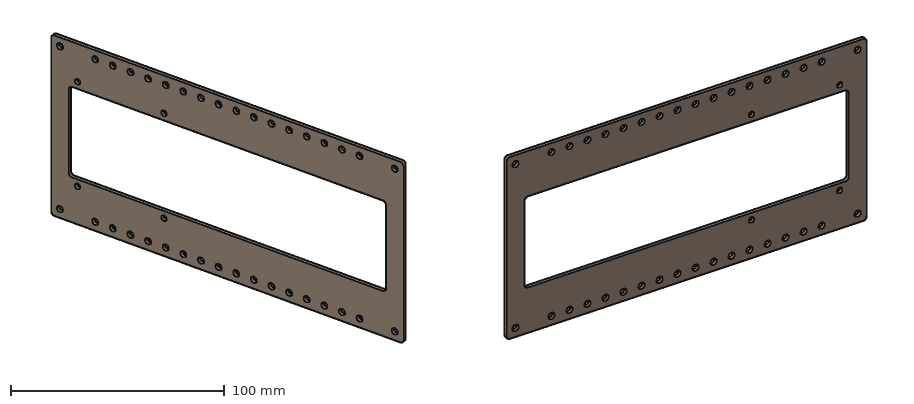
import cadquery as cq

plate_length = 200.0
plate_height = 100.0
plate_thickness = 2.0
plate_corner_radius = 2.0

window_length = 180.0
window_height = 50.0
window_corner_radius = 2.0

edge_hole_diameter = 3.4
edge_hole_inset = 5.0
row_hole_count = 16
row_hole_pitch = 10.0

module_hole_diameter = 3.0
module_hole_left_inset = 15.0
module_hole_spacing_x = 49.0
module_hole_spacing_z = 58.0


def rounded_block(length, height, corner_radius):
    """Block of plate thickness, with its four corners rounded along Y."""
    return (
        cq.Workplane("XY")
        .box(length, plate_thickness, height)
        .edges("|Y")
        .fillet(corner_radius)
    )


def drill(body, points, diameter):
    """Cut a through hole along Y at every (x, z) point."""
    drills = (
        cq.Workplane("XZ")
        .pushPoints(points)
        .circle(diameter / 2)
        .extrude(plate_thickness, both=True)
    )
    return body.cut(drills)


def edge_hole_points():
    """Corner holes plus an evenly spaced row, mirrored top and bottom."""
    corner_x = plate_length / 2 - edge_hole_inset
    row_z = plate_height / 2 - edge_hole_inset
    row_start_x = -(row_hole_count - 1) * row_hole_pitch / 2
    row_x = [row_start_x + i * row_hole_pitch for i in range(row_hole_count)]
    return [(x, z) for z in (-row_z, row_z) for x in [-corner_x, *row_x, corner_x]]


def module_hole_points():
    """Four holes, symmetric about the horizontal centre line."""
    left_x = -plate_length / 2 + module_hole_left_inset
    right_x = left_x + module_hole_spacing_x
    row_z = module_hole_spacing_z / 2
    return [(x, z) for x in (left_x, right_x) for z in (-row_z, row_z)]


plate = rounded_block(plate_length, plate_height, plate_corner_radius)
plate = plate.cut(rounded_block(window_length, window_height, window_corner_radius))
plate = drill(plate, edge_hole_points(), edge_hole_diameter)
result = drill(plate, module_hole_points(), module_hole_diameter)